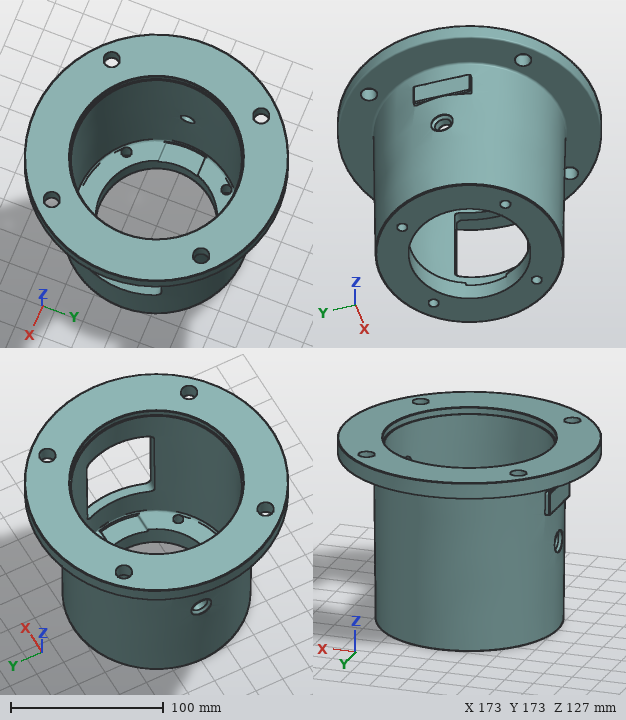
import cadquery as cq

flange_diameter = 173.0
total_height = 127.0
flange_thickness = 11.2
flange_top_chamfer = 0.5
flange_bottom_fillet = 1.2

body_top_radius = 63.0
body_bottom_radius = 61.8
neck_fillet = 1.5
body_bottom_chamfer = 0.7

pilot_radius = 56.9
pilot_depth = 4.7
pilot_chamfer = 0.5
cavity_top_radius = 55.9
cavity_bottom_radius = 54.5
cavity_fillet = 1.4
floor_thickness = 15.0
floor_bore_radius = 40.0

channel_width = 27.7
channel_depth = 2.2
channel_fillet = 1.0
channel_end_radius = 53.6

flange_hole_spacing = 105.5
flange_hole_diameter = 10.7
floor_hole_spacing = 70.5
floor_hole_diameter = 6.7

window_width = 54.0
window_bottom = 35.3
window_top = 101.0
window_corner_radius = 5.2
window_taper = 8.0
window_inner_reach = 34.6

side_hole_mouth_diameter = 11.0
side_hole_inner_diameter = 9.7
side_hole_height = 62.1
countersink_diameter = 14.9

pad_width = 39.5
pad_bottom = 86.5
pad_top = 103.0
pad_face_distance = 63.0
pad_root_distance = 58.8
pad_corner_radius = 1.7
pad_edge_chamfer = 0.9

flange_radius = flange_diameter / 2
flange_bottom = total_height - flange_thickness
cavity_top = total_height - pilot_depth


def make_outer_body():
    flange = (
        cq.Workplane("XY", origin=(0, 0, flange_bottom))
        .circle(flange_radius)
        .extrude(flange_thickness)
        .faces(">Z").edges().chamfer(flange_top_chamfer)
        .faces("<Z").edges().fillet(flange_bottom_fillet)
    )
    tube = (
        cq.Workplane("XZ")
        .lineTo(body_bottom_radius - body_bottom_chamfer, 0)
        .lineTo(body_bottom_radius, body_bottom_chamfer)
        .lineTo(body_top_radius, flange_bottom - neck_fillet)
        .radiusArc((body_top_radius + neck_fillet, flange_bottom), neck_fillet)
        .lineTo(0, flange_bottom)
        .close()
        .revolve(360, (0, 0, 0), (0, 1, 0))
    )
    return flange.union(tube)


def make_pad():
    pad_height = pad_top - pad_bottom
    return (
        cq.Workplane("YZ", origin=(-pad_face_distance, 0, (pad_top + pad_bottom) / 2))
        .rect(pad_width, pad_height)
        .extrude(pad_face_distance - pad_root_distance)
        .edges("|X").fillet(pad_corner_radius)
        .faces("<X").edges().chamfer(pad_edge_chamfer)
    )


def make_cavity():
    cavity = (
        cq.Workplane("XZ")
        .moveTo(0, floor_thickness)
        .lineTo(cavity_bottom_radius, floor_thickness)
        .lineTo(cavity_top_radius, cavity_top)
        .lineTo(0, cavity_top)
        .close()
        .revolve(360, (0, 0, 0), (0, 1, 0))
        .faces("<Z").edges().fillet(cavity_fillet)
    )
    pilot = (
        cq.Workplane("XZ")
        .moveTo(0, cavity_top)
        .lineTo(pilot_radius, cavity_top)
        .lineTo(pilot_radius, total_height - pilot_chamfer)
        .lineTo(pilot_radius + pilot_chamfer, total_height)
        .lineTo(0, total_height)
        .close()
        .revolve(360, (0, 0, 0), (0, 1, 0))
    )
    return cavity.union(pilot)


def make_channel():
    half_width = channel_width / 2
    channel_bottom = floor_thickness - channel_depth
    groove = (
        cq.Workplane("YZ", origin=(-cavity_bottom_radius, 0, 0))
        .moveTo(-half_width - channel_fillet, floor_thickness)
        .radiusArc((-half_width, floor_thickness - channel_fillet), channel_fillet)
        .radiusArc((-half_width + channel_fillet, channel_bottom), -channel_fillet)
        .lineTo(half_width - channel_fillet, channel_bottom)
        .radiusArc((half_width, floor_thickness - channel_fillet), -channel_fillet)
        .radiusArc((half_width + channel_fillet, floor_thickness), channel_fillet)
        .lineTo(half_width + channel_fillet, floor_thickness + cavity_fillet)
        .lineTo(-half_width - channel_fillet, floor_thickness + cavity_fillet)
        .close()
        .extrude(2 * cavity_bottom_radius)
    )
    floor_disc = cq.Workplane("XY").circle(channel_end_radius).extrude(total_height)
    return groove.intersect(floor_disc)


def make_floor_bore():
    return cq.Workplane("XY").circle(floor_bore_radius).extrude(floor_thickness)


def make_square_pattern(spacing, diameter):
    return (
        cq.Workplane("XY")
        .rect(spacing, spacing, forConstruction=True)
        .vertices()
        .circle(diameter / 2)
        .extrude(total_height)
    )


def make_window():
    return (
        cq.Workplane("ZY", origin=(body_top_radius, 0, (window_top + window_bottom) / 2))
        .sketch()
        .rect(window_top - window_bottom, window_width)
        .vertices()
        .fillet(window_corner_radius)
        .finalize()
        .extrude(body_top_radius - window_inner_reach, taper=window_taper)
    )


def make_side_hole():
    countersink_radius = countersink_diameter / 2
    mouth_radius = side_hole_mouth_diameter / 2
    inner_radius = side_hole_inner_diameter / 2
    countersink_bottom = body_bottom_radius - (countersink_radius - mouth_radius)
    return (
        cq.Workplane("XZ", origin=(0, 0, side_hole_height))
        .moveTo(-flange_radius, 0)
        .lineTo(-flange_radius, countersink_radius)
        .lineTo(-body_bottom_radius, countersink_radius)
        .lineTo(-countersink_bottom, mouth_radius)
        .lineTo(-cavity_bottom_radius, inner_radius)
        .lineTo(0, inner_radius)
        .lineTo(0, 0)
        .close()
        .revolve(360, (0, 0, 0), (1, 0, 0))
    )


result = make_outer_body().union(make_pad())
result = result.cut(make_cavity())
result = result.cut(make_channel())
result = result.cut(make_floor_bore())
result = result.cut(make_square_pattern(flange_hole_spacing, flange_hole_diameter))
result = result.cut(make_square_pattern(floor_hole_spacing, floor_hole_diameter))
result = result.cut(make_window())
result = result.cut(make_side_hole())